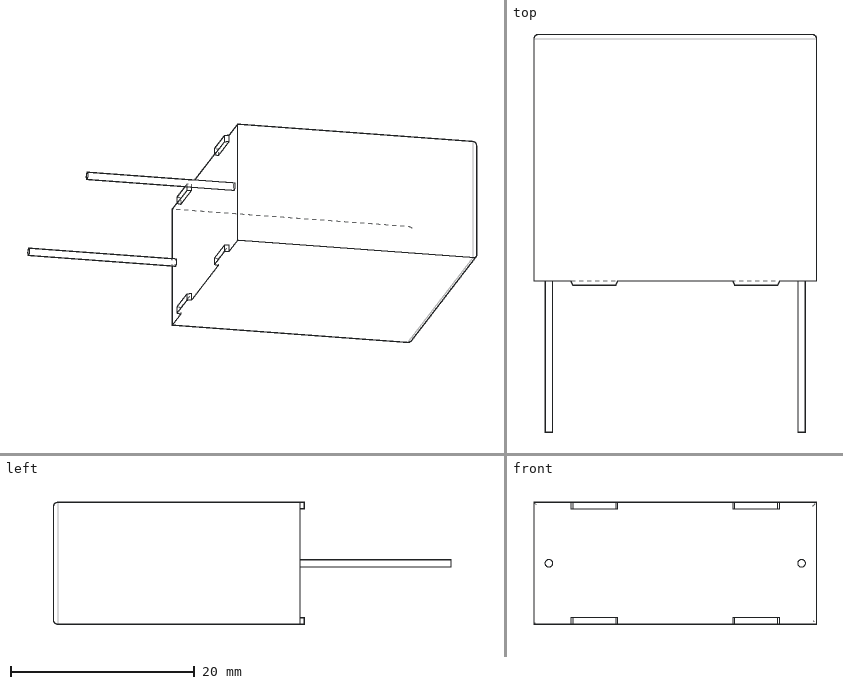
import cadquery as cq

OVERALL_LENGTH = 43.3

HOUSING_WIDTH = 30.8
HOUSING_DEPTH = 26.85
HOUSING_HEIGHT = 13.3
REAR_FILLET = 0.5

TAB_BASE_WIDTH = 5.1
TAB_TIP_WIDTH = 4.68
TAB_PROJECTION = 0.48
TAB_THICKNESS = 0.75
TAB_SPACING = 17.62

LEAD_DIAMETER = 0.82
LEAD_SPACING = 27.5
LEAD_LENGTH = OVERALL_LENGTH - HOUSING_DEPTH

SIDES = (-1, 1)


def make_tab(center_x, bottom_z):
    """Standoff tab with slanted ends, based on the lead-side face at Y = 0."""
    return (
        cq.Workplane("XY", origin=(center_x, 0, bottom_z))
        .moveTo(-TAB_BASE_WIDTH / 2, 0)
        .lineTo(-TAB_TIP_WIDTH / 2, -TAB_PROJECTION)
        .lineTo(TAB_TIP_WIDTH / 2, -TAB_PROJECTION)
        .lineTo(TAB_BASE_WIDTH / 2, 0)
        .close()
        .extrude(TAB_THICKNESS)
    )


def make_housing():
    """Block with a rounded rear rim and four tabs flush with its top and bottom."""
    housing = (
        cq.Workplane("XY")
        .box(HOUSING_WIDTH, HOUSING_DEPTH, HOUSING_HEIGHT, centered=(True, False, True))
        .faces(">Y")
        .edges()
        .fillet(REAR_FILLET)
    )
    lower_tab_z = -HOUSING_HEIGHT / 2
    upper_tab_z = HOUSING_HEIGHT / 2 - TAB_THICKNESS
    for side in SIDES:
        for bottom_z in (lower_tab_z, upper_tab_z):
            housing = housing.union(make_tab(side * TAB_SPACING / 2, bottom_z))
    return housing


def make_lead(center_x):
    """Round wire lead running in -Y from the lead-side face, at mid height."""
    return (
        cq.Workplane("XZ", origin=(center_x, 0, 0))
        .circle(LEAD_DIAMETER / 2)
        .extrude(LEAD_LENGTH)
    )


housing = make_housing()
leads = [make_lead(side * LEAD_SPACING / 2) for side in SIDES]

result = cq.Compound.makeCompound([housing.val(), *[lead.val() for lead in leads]])